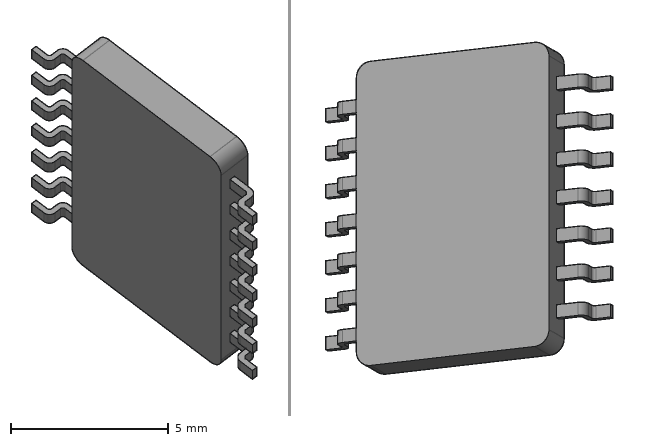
import cadquery as cq

body_width = 6.7
body_thickness = 1.2
body_height = 10.0
corner_radius = 0.5

leads_per_side = 7
lead_pitch = 1.25
lead_width = 0.43
lead_thickness = 0.2
lead_reach = 1.6
foot_length = 0.6
outer_bend_radius = 0.25
inner_bend_radius = 0.1

body_side_x = body_width / 2
tip_x = body_side_x + lead_reach
riser_outer_x = tip_x - foot_length
riser_inner_x = riser_outer_x - lead_thickness
body_front_y = -body_thickness
foot_front_y = body_front_y - lead_thickness
shoulder_back_y = -body_thickness / 2
shoulder_front_y = shoulder_back_y - lead_thickness


def make_body():
    return (
        cq.Workplane("XY")
        .box(body_width, body_thickness, body_height, centered=(True, False, True))
        .translate((0, body_front_y, 0))
        .edges("|Y")
        .fillet(corner_radius)
    )


def make_lead():
    """One lead on the +X side, centred on Z = 0."""
    lead = (
        cq.Workplane("XY")
        .moveTo(body_side_x, shoulder_back_y)
        .lineTo(riser_outer_x, shoulder_back_y)
        .lineTo(riser_outer_x, body_front_y)
        .lineTo(tip_x, body_front_y)
        .lineTo(tip_x, foot_front_y)
        .lineTo(riser_inner_x, foot_front_y)
        .lineTo(riser_inner_x, shoulder_front_y)
        .lineTo(body_side_x, shoulder_front_y)
        .close()
        .extrude(lead_width / 2, both=True)
    )
    lead = round_edge(lead, riser_outer_x, shoulder_back_y, outer_bend_radius)
    lead = round_edge(lead, riser_inner_x, foot_front_y, outer_bend_radius)
    lead = round_edge(lead, riser_outer_x, body_front_y, inner_bend_radius)
    return round_edge(lead, riser_inner_x, shoulder_front_y, inner_bend_radius)


def round_edge(solid, x, y, radius):
    """Fillet the edge parallel to Z that passes through (x, y)."""
    return solid.edges(cq.NearestToPointSelector((x, y, 0))).fillet(radius)


right_lead = make_lead()
left_lead = right_lead.mirror("YZ")
lowest_lead_z = -lead_pitch * (leads_per_side - 1) / 2

result = make_body()
for index in range(leads_per_side):
    lead_z = lowest_lead_z + index * lead_pitch
    for lead in (right_lead, left_lead):
        result = result.union(lead.translate((0, 0, lead_z)))